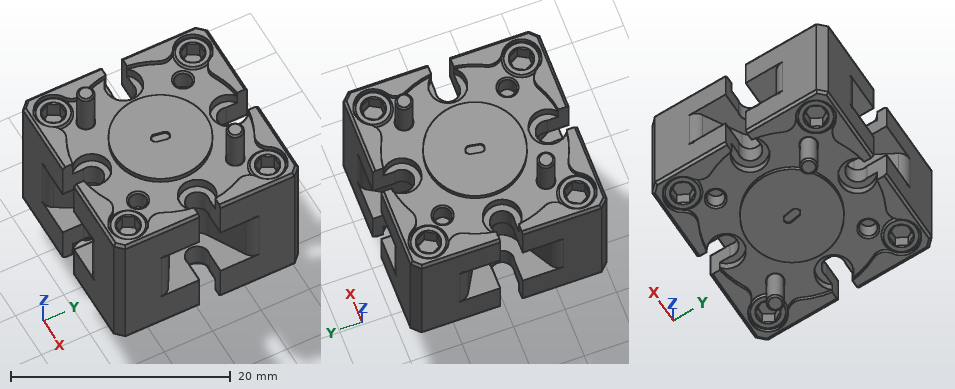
import cadquery as cq
import math

body_side = 19.05
body_height = 13.9
side_count = 4
corner_chamfer = 0.78
rim_chamfer = 0.26
half_side = body_side / 2
half_height = body_height / 2

recess_depth = 0.5
recess_radius = 8.57
rim_blend_radius = 1.3
disc_radius = 4.75
floor_z = half_height - recess_depth

slot_length = 1.78
slot_width = 0.87
slot_depth = 0.22
slot_tilt = 10

screw_offset = 7.2
head_bore_radius = 1.83
head_radius = 1.8
head_chamfer = 0.2
head_rise = head_chamfer
socket_across_flats = 2.02
socket_sides = 6
socket_depth = 1.75
socket_mouth_radius = 1.17
socket_mouth_depth = 0.13

dowel_offset = 5.02
pin_radius = 0.8
pin_tip_z = 10.87
pin_tip_chamfer = 0.17
pin_countersink_radius = 0.87
hole_radius = 0.85
hole_countersink_radius = 1.02
hole_depth = 2.17

notch_width = 2.17
notch_center = 7.09
notch_radius = 1.13
spotface_radius = 1.78
spotface_depth = 1.05

window_height = 5.87
window_half_width = 5.02
window_bottom_half_width = 0.2
window_wall_angle = 30
window_bottom_radius = 2.05
window_mouth_radius = 1.2

cut_margin = 0.22
screw_centers = [(sx * screw_offset, sy * screw_offset) for sx in (-1, 1) for sy in (-1, 1)]
pin_centers = [(-dowel_offset, -dowel_offset), (dowel_offset, dowel_offset)]
hole_centers = [(-dowel_offset, dowel_offset), (dowel_offset, -dowel_offset)]


def cylinders(centers, radius, bottom, top):
    """Upright cylinders between two heights."""
    return cq.Workplane("XY", origin=(0, 0, bottom)).pushPoints(centers).circle(radius).extrude(top - bottom)


def cones(centers, mouth_radius, end_radius, mouth_z, depth):
    """Downward tapering conical cutters with their wide end at mouth_z."""
    cutter = cq.Workplane("XY")
    for x, y in centers:
        cone = cq.Solid.makeCone(mouth_radius, end_radius, depth, cq.Vector(x, y, mouth_z), cq.Vector(0, 0, -1))
        cutter = cutter.add(cone)
    return cutter.combine()


def at_both_ends(shape):
    """The shape together with its mirror image in the mid-height plane."""
    return shape.union(shape.mirror("XY"))


def around_sides(part, cutter):
    """Cut the same cutter from all four sides."""
    for turn in range(side_count):
        part = part.cut(cutter.rotate((0, 0, 0), (0, 0, 1), 360 / side_count * turn))
    return part


def make_block():
    block = cq.Workplane("XY").box(body_side, body_side, body_height)
    block = block.edges("|Z").chamfer(corner_chamfer)
    return block.faces("<Z or >Z").edges().chamfer(rim_chamfer)


def make_recess():
    """Round recess joined to the four screw head bores, with the rim between them rounded."""
    recess = cylinders([(0, 0)], recess_radius, floor_z, half_height)
    recess = recess.union(cylinders(screw_centers, head_bore_radius, floor_z, half_height))
    recess = recess.edges("|Z").fillet(rim_blend_radius)
    return recess.cut(cylinders([(0, 0)], disc_radius, floor_z, half_height))


def make_notch():
    """Through notch on the +Y side with a round bottom and a spotface at each end."""
    notch = cylinders([(0, notch_center)], notch_radius, -half_height, half_height)
    run = half_side + cut_margin - notch_center
    slot = cq.Workplane("XY").box(notch_width, run, body_height, centered=(True, False, True))
    notch = notch.union(slot.translate((0, notch_center, 0)))
    spotface = cylinders([(0, notch_center)], spotface_radius, floor_z - spotface_depth, floor_z)
    return notch.union(at_both_ends(spotface))


def make_window():
    """V-shaped window on the +Y side: rounded bottom, straight walls and rounded mouth edges."""
    angle = math.radians(window_wall_angle)
    mid = math.radians((90 + window_wall_angle) / 2)

    mouth_center_x = window_half_width
    mouth_center_y = half_side - window_mouth_radius
    wall_top = (mouth_center_x - window_mouth_radius * math.cos(angle),
                mouth_center_y + window_mouth_radius * math.sin(angle))
    mouth_mid = (mouth_center_x - window_mouth_radius * math.cos(mid),
                 mouth_center_y + window_mouth_radius * math.sin(mid))

    wall_bottom_x = window_bottom_half_width + window_bottom_radius * math.cos(angle)
    wall_bottom_y = wall_top[1] - (wall_top[0] - wall_bottom_x) / math.tan(angle)
    bottom_center_y = wall_bottom_y + window_bottom_radius * math.sin(angle)
    bottom_mid = (window_bottom_half_width + window_bottom_radius * math.cos(mid),
                  bottom_center_y - window_bottom_radius * math.sin(mid))
    bottom_y = bottom_center_y - window_bottom_radius

    half_window = (
        cq.Workplane("XY", origin=(0, 0, -window_height / 2))
        .moveTo(0, bottom_y)
        .lineTo(window_bottom_half_width, bottom_y)
        .threePointArc(bottom_mid, (wall_bottom_x, wall_bottom_y))
        .lineTo(*wall_top)
        .threePointArc(mouth_mid, (window_half_width, half_side))
        .lineTo(0, half_side)
        .close()
        .extrude(window_height)
    )
    return half_window.union(half_window.mirror("YZ"))


def make_screw_heads():
    """Chamfered heads standing slightly above the recess floor."""
    heads = cylinders(screw_centers, head_radius, floor_z - head_rise, floor_z + head_rise)
    return heads.faces(">Z").chamfer(head_chamfer)


def make_screw_sockets():
    """Hexagonal sockets with a conical mouth."""
    head_top = floor_z + head_rise
    across_corners = socket_across_flats / math.cos(math.pi / socket_sides)
    sockets = (
        cq.Workplane("XY", origin=(0, 0, head_top))
        .pushPoints(screw_centers)
        .polygon(socket_sides, across_corners)
        .extrude(-socket_depth)
    )
    mouths = cones(screw_centers, socket_mouth_radius, socket_across_flats / 2, head_top, socket_mouth_depth)
    return sockets.union(mouths)


def make_dowel_holes():
    """Blind countersunk holes, and the countersinks around the pins."""
    holes = cylinders(hole_centers, hole_radius, floor_z - hole_depth, floor_z)
    hole_mouths = cones(hole_centers, hole_countersink_radius, hole_radius, floor_z,
                        hole_countersink_radius - hole_radius)
    pin_mouths = cones(pin_centers, pin_countersink_radius, pin_radius, floor_z,
                       pin_countersink_radius - pin_radius)
    return holes.union(hole_mouths).union(pin_mouths)


def make_waveguide_slot():
    return (
        cq.Workplane("XY", origin=(0, 0, half_height))
        .slot2D(slot_length, slot_width, 90 - slot_tilt)
        .extrude(-slot_depth)
    )


def make_pins():
    """Pins running through the block and standing out at both ends."""
    pins = cylinders(pin_centers, pin_radius, -pin_tip_z, pin_tip_z)
    return pins.faces("<Z or >Z").edges().chamfer(pin_tip_chamfer)


result = make_block().cut(at_both_ends(make_recess()))
result = around_sides(result, make_notch())
result = around_sides(result, make_window())
result = result.union(at_both_ends(make_screw_heads()))
result = result.cut(at_both_ends(make_screw_sockets()))
result = result.cut(at_both_ends(make_dowel_holes()))
result = result.cut(at_both_ends(make_waveguide_slot()))
result = result.union(make_pins())